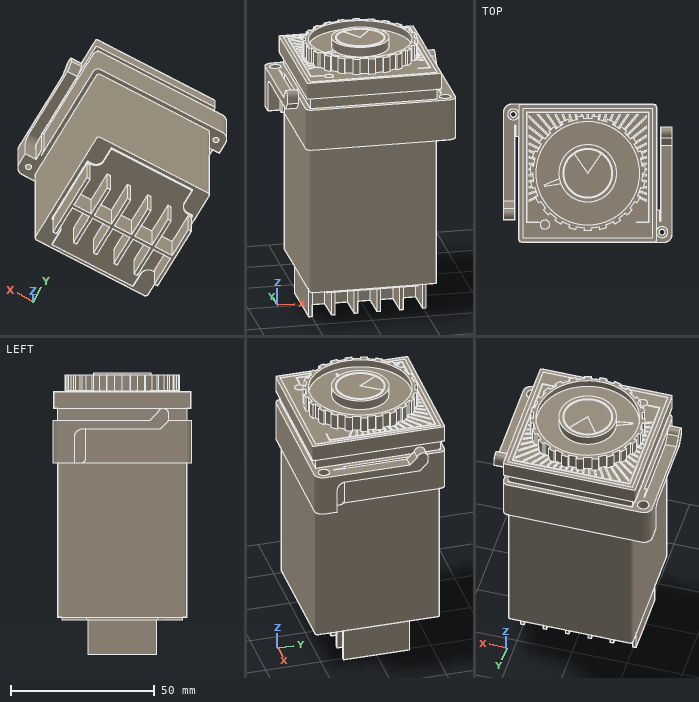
import cadquery as cq
import math

TOTAL_HEIGHT = 98.4
FIN_HEIGHT = 12.0
REAR_PLATE_THICKNESS = 1.0
CASE_BOTTOM = FIN_HEIGHT + REAR_PLATE_THICKNESS
BRACKET_BOTTOM = 66.9
BRACKET_HEIGHT = 15.0
BRACKET_TOP = BRACKET_BOTTOM + BRACKET_HEIGHT
BEZEL_HEIGHT = 5.9
BEZEL_TOP = 91.9
BEZEL_BOTTOM = BEZEL_TOP - BEZEL_HEIGHT
MARK_DEPTH = 0.1

CASE_SIDE = 45.2
CASE_CORNER_RADIUS = 1.0

REAR_PLATE_SIDE = 42.1
NOTCH_X = 4.8
NOTCH_Y = 8.6
NOTCH_RADIUS = 3.1
FIN_COUNT = 6
FIN_THICKNESS = 1.3
FIN_WIDTH = 24.0
FIN_ROW_LENGTH = 41.9
FIN_PITCH = (FIN_ROW_LENGTH - FIN_THICKNESS) / (FIN_COUNT - 1)

BRACKET_LENGTH = 59.0
BRACKET_SIDE = 48.5
FRAME_CORNER_RADIUS = 2.0
EAR_CORNER_RADIUS = 3.1
ARM_WIDTH = 4.0
ARM_THICKNESS = 3.1
ARM_BOTTOM = BRACKET_TOP - ARM_THICKNESS
EAR_INNER_Y = 16.7
EAR_INNER_RADIUS = 3.0
STOP_END_Y = 12.8
STOP_RADIUS = 1.8
SLIT_WIDTH = 0.3
ARM_BEND_Y = -13.3
TIP_RADIUS = 2.0
TIP_CENTER_Y = -14.3
TIP_CENTER_Z = BEZEL_BOTTOM - TIP_RADIUS
TIP_SLOPE_ANGLE = math.radians(15)
SCREW_X = 26.0
SCREW_Y = 20.6
SCREW_DIAMETER = 2.0
SCREW_HEAD_DIAMETER = 3.9
SCREW_HEAD_DEPTH = BRACKET_HEIGHT / 2

BEZEL_SIDE = 47.9
BEZEL_CORNER_RADIUS = 0.5
PANEL_SIDE = 45.3
TICK_COUNT = 41
TICK_STEP = 5.75
TICK_WIDTH = 0.5
TICK_FIELD_SIDE = 40.9
TICK_INNER_RADIUS = 19.2
BORDER_SIDE = 42.7
BORDER_WIDTH = 0.2
BORDER_BOTTOM_Y = -17.2
BORDER_FOOT_LENGTH = 4.3
LAMP_X = -15.0
LAMP_Y = -17.9
LAMP_DIAMETER = 3.2

DIAL_CLEARANCE = 0.2
DIAL_BOTTOM = BEZEL_TOP + DIAL_CLEARANCE
DIAL_RIM_TOP = 97.7
DIAL_FLOOR = 94.9
DIAL_RADIUS = 20.1
DIAL_INNER_RADIUS = 18.1
TOOTH_COUNT = 23
GROOVE_WIDTH = 3.0
GROOVE_FLOOR_RADIUS = 19.1
HUB_RADIUS = 10.0
HUB_RING_RADIUS = 8.7
HUB_RING_WIDTH = 0.3
SECTOR_HALF_ANGLE = 34.5
POINTER_TIP_RADIUS = 15.7
POINTER_TIP_WIDTH = 0.5
POINTER_BASE_WIDTH = 2.2
POINTER_ANGLE = 196.0


def block(x_min, x_max, y_min, y_max, z_min, z_max):
    """Axis-aligned box given by its limits."""
    size = (x_max - x_min, y_max - y_min, z_max - z_min)
    return cq.Workplane("XY").box(*size, centered=False).translate((x_min, y_min, z_min))


def square_prism(side, z_min, z_max):
    """Square prism centred on the Z axis."""
    return block(-side / 2, side / 2, -side / 2, side / 2, z_min, z_max)


def cylinder(radius, z_min, z_max):
    """Cylinder on the Z axis."""
    return cq.Workplane("XY").workplane(offset=z_min).circle(radius).extrude(z_max - z_min)


def case_shape():
    """Round-cornered block of the case, also used to open the bracket."""
    return square_prism(CASE_SIDE, CASE_BOTTOM, BRACKET_TOP).edges("|Z").fillet(CASE_CORNER_RADIUS)


def make_terminal_block():
    """Cross-shaped rear plate with a row of fins joined by a central web."""
    half = REAR_PLATE_SIDE / 2
    plate = square_prism(REAR_PLATE_SIDE, FIN_HEIGHT, CASE_BOTTOM)
    inner_x = half - NOTCH_X
    inner_y = half - NOTCH_Y
    notch = block(inner_x, half + NOTCH_X, inner_y, half + NOTCH_Y, FIN_HEIGHT, CASE_BOTTOM)
    notch = notch.edges("|Z and <X and <Y").fillet(NOTCH_RADIUS)
    for notch_copy in (notch, notch.mirror("YZ")):
        plate = plate.cut(notch_copy).cut(notch_copy.mirror("XZ"))
    row_end = FIN_ROW_LENGTH / 2
    web = block(-row_end, row_end, -FIN_THICKNESS / 2, FIN_THICKNESS / 2, 0, FIN_HEIGHT)
    body = plate.union(web)
    for index in range(FIN_COUNT):
        left = -row_end + index * FIN_PITCH
        fin = block(left, left + FIN_THICKNESS, -FIN_WIDTH / 2, FIN_WIDTH / 2, 0, FIN_HEIGHT)
        body = body.union(fin)
    return body


def make_ear():
    """Ear on the -X side: screw block, stop block and sprung arm with a raised tip."""
    outer_x = -BRACKET_LENGTH / 2
    arm_inner_x = outer_x + ARM_WIDTH
    frame_x = -BRACKET_SIDE / 2
    back_y = BRACKET_SIDE / 2
    tip_end_y = TIP_CENTER_Y - TIP_RADIUS
    slope_y = TIP_CENTER_Y + TIP_RADIUS * math.cos(TIP_SLOPE_ANGLE)
    slope_z = TIP_CENTER_Z + TIP_RADIUS * math.sin(TIP_SLOPE_ANGLE)
    arm = (
        cq.Workplane("YZ").workplane(offset=outer_x)
        .moveTo(back_y, BRACKET_BOTTOM)
        .lineTo(back_y, BRACKET_TOP)
        .lineTo(slope_y + slope_z - BRACKET_TOP, BRACKET_TOP)
        .lineTo(slope_y, slope_z)
        .threePointArc((TIP_CENTER_Y, BEZEL_BOTTOM), (tip_end_y, TIP_CENTER_Z))
        .lineTo(tip_end_y, ARM_BOTTOM + ARM_BEND_Y - tip_end_y)
        .lineTo(ARM_BEND_Y, ARM_BOTTOM)
        .lineTo(EAR_INNER_Y - EAR_INNER_RADIUS, ARM_BOTTOM)
        .radiusArc((EAR_INNER_Y, ARM_BOTTOM - EAR_INNER_RADIUS), EAR_INNER_RADIUS)
        .lineTo(EAR_INNER_Y, BRACKET_BOTTOM)
        .close()
        .extrude(ARM_WIDTH)
    )
    root = block(arm_inner_x, frame_x, EAR_INNER_Y, back_y, BRACKET_BOTTOM, BRACKET_TOP)
    stop = block(arm_inner_x + SLIT_WIDTH, frame_x, STOP_END_Y, EAR_INNER_Y, BRACKET_BOTTOM, BRACKET_TOP)
    stop = stop.edges("|X and <Y and <Z").fillet(STOP_RADIUS)
    ear = arm.union(root)
    ear = ear.edges("|Z and <X and >Y").fillet(EAR_CORNER_RADIUS)
    return ear.union(stop)


def make_bracket():
    """Square frame around the case with two opposite screw ears."""
    frame = square_prism(BRACKET_SIDE, BRACKET_BOTTOM, BRACKET_TOP)
    frame = frame.edges("(|Z and <X and <Y) or (|Z and >X and >Y)").fillet(FRAME_CORNER_RADIUS)
    ear = make_ear()
    body = frame.union(ear).union(ear.rotate((0, 0, 0), (0, 0, 1), 180))
    screw_hole = cylinder(SCREW_DIAMETER / 2, BRACKET_BOTTOM, BRACKET_TOP)
    head_hole = cylinder(SCREW_HEAD_DIAMETER / 2, BRACKET_TOP - SCREW_HEAD_DEPTH, BRACKET_TOP)
    stepped_hole = screw_hole.union(head_hole)
    body = body.cut(case_shape())
    for side in (-1, 1):
        body = body.cut(stepped_hole.translate((side * SCREW_X, -side * SCREW_Y, 0)))
    return body


def make_scale_ticks(z_min, z_max):
    """Radial ticks around the dial, symmetric about +Y, trimmed to a square."""
    tick = block(TICK_INNER_RADIUS, TICK_FIELD_SIDE, -TICK_WIDTH / 2, TICK_WIDTH / 2, z_min, z_max)
    first_angle = 90 - TICK_STEP * (TICK_COUNT - 1) / 2
    ticks = cq.Workplane("XY")
    for index in range(TICK_COUNT):
        ticks = ticks.add(tick.rotate((0, 0, 0), (0, 0, 1), first_angle + index * TICK_STEP))
    field = square_prism(TICK_FIELD_SIDE, z_min, z_max)
    return field.intersect(ticks.combine())


def make_border(z_min, z_max):
    """Thin border line around the scale, open along most of the bottom."""
    half = BORDER_SIDE / 2
    inner = half - BORDER_WIDTH
    foot_end = half - BORDER_FOOT_LENGTH
    inner_bottom_y = BORDER_BOTTOM_Y + BORDER_WIDTH
    outer_area = block(-half, half, BORDER_BOTTOM_Y, half, z_min, z_max)
    inner_area = block(-inner, inner, inner_bottom_y, inner, z_min, z_max)
    opening = block(-foot_end, foot_end, BORDER_BOTTOM_Y, inner_bottom_y, z_min, z_max)
    return outer_area.cut(inner_area).cut(opening)


def make_bezel():
    """Front bezel on a square neck, with a marked panel set just below its rim."""
    bezel = square_prism(BEZEL_SIDE, BEZEL_BOTTOM, BEZEL_TOP).edges("|Z").fillet(BEZEL_CORNER_RADIUS)
    neck = square_prism(PANEL_SIDE, BRACKET_TOP, BEZEL_BOTTOM)
    panel_top = BEZEL_TOP - MARK_DEPTH
    mark_bottom = panel_top - MARK_DEPTH
    body = bezel.union(neck).cut(square_prism(PANEL_SIDE, panel_top, BEZEL_TOP))
    body = body.cut(make_scale_ticks(mark_bottom, panel_top))
    body = body.cut(make_border(mark_bottom, panel_top))
    lamp = cylinder(LAMP_DIAMETER / 2, mark_bottom, panel_top).translate((LAMP_X, LAMP_Y, 0))
    return body.cut(lamp)


def make_pointer():
    """Flat tapered pointer running out from the hub."""
    half_base = POINTER_BASE_WIDTH / 2
    half_tip = POINTER_TIP_WIDTH / 2
    outline = [
        (HUB_RADIUS - half_base, -half_base),
        (POINTER_TIP_RADIUS, -half_tip),
        (POINTER_TIP_RADIUS, half_tip),
        (HUB_RADIUS - half_base, half_base),
    ]
    pointer = cq.Workplane("XY").workplane(offset=DIAL_FLOOR).polyline(outline).close().extrude(MARK_DEPTH)
    return pointer.rotate((0, 0, 0), (0, 0, 1), POINTER_ANGLE)


def make_hub_marks():
    """Ring groove and shallower sector recess in the hub face."""
    mark_bottom = TOTAL_HEIGHT - MARK_DEPTH
    ring_bottom = mark_bottom - MARK_DEPTH
    sector_radius = HUB_RING_RADIUS - HUB_RING_WIDTH
    ring = cylinder(HUB_RING_RADIUS, ring_bottom, TOTAL_HEIGHT)
    ring = ring.cut(cylinder(sector_radius, ring_bottom, TOTAL_HEIGHT))
    half_angle = math.radians(SECTOR_HALF_ANGLE)
    edge_x = sector_radius * math.sin(half_angle)
    edge_y = sector_radius * math.cos(half_angle)
    sector = (
        cq.Workplane("XY").workplane(offset=mark_bottom)
        .lineTo(edge_x, edge_y)
        .threePointArc((0, sector_radius), (-edge_x, edge_y))
        .close()
        .extrude(MARK_DEPTH)
    )
    return ring.union(sector)


def make_dial():
    """Knurled cup with a raised hub, resting on the panel by a short spigot."""
    dial = cylinder(DIAL_RADIUS, DIAL_BOTTOM, DIAL_RIM_TOP)
    groove = block(
        GROOVE_FLOOR_RADIUS, DIAL_RADIUS + GROOVE_WIDTH, -GROOVE_WIDTH / 2, GROOVE_WIDTH / 2,
        DIAL_BOTTOM, DIAL_RIM_TOP,
    )
    tooth_step = 360 / TOOTH_COUNT
    for index in range(TOOTH_COUNT):
        angle = -90 + (index + 0.5) * tooth_step
        dial = dial.cut(groove.rotate((0, 0, 0), (0, 0, 1), angle))
    dial = dial.cut(cylinder(DIAL_INNER_RADIUS, DIAL_FLOOR, DIAL_RIM_TOP))
    spigot = cylinder(HUB_RADIUS, BEZEL_TOP - MARK_DEPTH, DIAL_BOTTOM)
    hub = cylinder(HUB_RADIUS, DIAL_FLOOR, TOTAL_HEIGHT)
    return dial.union(spigot).union(hub).union(make_pointer()).cut(make_hub_marks())


terminal_block = make_terminal_block()
case = case_shape()
bracket = make_bracket()
bezel = make_bezel()
dial = make_dial()

result = cq.Compound.makeCompound([
    terminal_block.val(),
    case.val(),
    bracket.val(),
    bezel.val(),
    dial.val(),
])